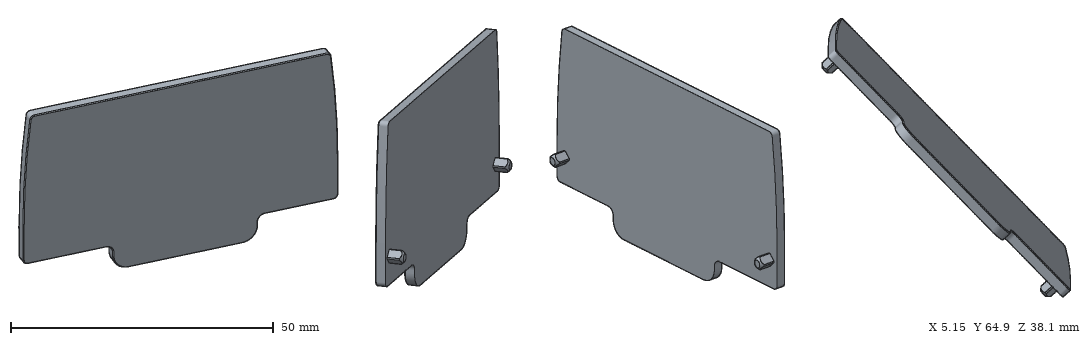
import cadquery as cq
import math

plate_width = 64.9
plate_thickness = 2.1
total_height = 38.1
lower_edge_z = 5.45
taper_start_z = 14.35
top_width = 61.8
corner_radius = 1.0
back_chamfer = 0.2

tab_width = 29.85
tab_center_y = 1.0
tab_inner_radius = 1.5
tab_outer_radius = 3.2

pin_length = 3.05
pin_spacing = 60.35
pin_z = 11.15
pin_diagonal = 3.05
pin_across_flats = 2.7
pin_tip_radius = 0.8
pin_cone_length = 0.65


def side_arc_middle():
    """Half-width and height of the middle of the arc tangent to the vertical side."""
    half_width = plate_width / 2
    inset = (plate_width - top_width) / 2
    rise = total_height - taper_start_z
    radius = (rise**2 + inset**2) / (2 * inset)
    half_angle = math.asin(rise / radius) / 2
    y = half_width - radius * (1 - math.cos(half_angle))
    z = taper_start_z + radius * math.sin(half_angle)
    return y, z


def make_main_plate():
    half_width = plate_width / 2
    half_top = top_width / 2
    arc_y, arc_z = side_arc_middle()
    plate = (
        cq.Workplane("YZ")
        .moveTo(-half_width, lower_edge_z)
        .lineTo(half_width, lower_edge_z)
        .lineTo(half_width, taper_start_z)
        .threePointArc((arc_y, arc_z), (half_top, total_height))
        .lineTo(-half_top, total_height)
        .threePointArc((-arc_y, arc_z), (-half_width, taper_start_z))
        .close()
        .extrude(plate_thickness)
    )
    top_corners = plate.faces(">Z").edges("|X")
    bottom_corners = plate.faces("<Z").edges("|X")
    return plate.newObject(top_corners.vals() + bottom_corners.vals()).fillet(corner_radius)


def make_tab():
    tab_top_z = taper_start_z
    return (
        cq.Workplane("YZ")
        .center(tab_center_y, tab_top_z / 2)
        .rect(tab_width, tab_top_z)
        .extrude(plate_thickness)
        .faces("<Z")
        .edges("|X")
        .fillet(tab_outer_radius)
    )


def make_plate():
    plate = make_main_plate().union(make_tab())
    inner_corners = []
    for side in (-1, 1):
        corner = (plate_thickness / 2, tab_center_y + side * tab_width / 2, lower_edge_z)
        inner_corners += plate.edges(cq.selectors.NearestToPointSelector(corner)).vals()
    plate = plate.newObject(inner_corners).fillet(tab_inner_radius)
    return plate.faces(">X").chamfer(back_chamfer)


def make_pin(y):
    plane = cq.Workplane("YZ", origin=(0, y, pin_z))
    square_side = pin_diagonal / math.sqrt(2)
    bar = plane.transformed(rotate=(0, 0, 45)).rect(square_side, square_side).extrude(-pin_length)
    blunting = plane.rect(pin_across_flats, pin_across_flats).extrude(-pin_length)
    envelope_radius = pin_tip_radius + pin_cone_length
    envelope = (
        plane.circle(envelope_radius)
        .extrude(-pin_length)
        .faces("<X")
        .chamfer(pin_cone_length)
    )
    return bar.intersect(blunting).intersect(envelope)


result = make_plate()
for side in (-1, 1):
    result = result.union(make_pin(side * pin_spacing / 2))